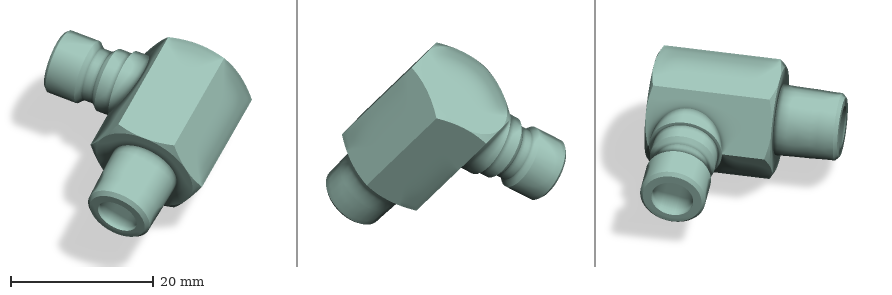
import cadquery as cq
import math

ACROSS_FLATS = 15.0
BACK_Y = 6.1
BODY_LENGTH = 18.0
FRONT_Y = BACK_Y - BODY_LENGTH
CORNER_RADIUS = ACROSS_FLATS / math.sqrt(3)
CHAMFER_ANGLE = math.radians(30)
OVERALL_X = 27.83

STEM_LENGTH = 9.0
STEM_TIP_Y = FRONT_Y - STEM_LENGTH
STEM_ROOT_RADIUS = 5.05
STEM_STEP_LENGTH = 5.0
STEM_STEP_RADIUS = 4.9
STEM_FRONT_RADIUS = 4.8
STEM_CHAMFER = 0.53

PORT_TIP_X = CORNER_RADIUS - OVERALL_X
PORT_RADIUS = 4.68
PORT_CHAMFER = 0.47
GROOVE_RADIUS = 3.9
GROOVE_START = 4.9
GROOVE_FLANK = 0.8
GROOVE_FLOOR = 1.6
COLLAR_START = 10.45
COLLAR_RADIUS = 5.2

BORE_RADIUS = 3.0


def make_body():
    """Hexagonal bar with both ends cut back by a cone at the corners."""
    hexagon = (
        cq.Workplane("XZ", origin=(0, BACK_Y, 0))
        .polygon(6, 2 * CORNER_RADIUS)
        .extrude(BODY_LENGTH)
    )
    face_radius = ACROSS_FLATS / 2
    chamfer_depth = (CORNER_RADIUS - face_radius) * math.tan(CHAMFER_ANGLE)
    envelope = (
        cq.Workplane("XY")
        .moveTo(0, FRONT_Y)
        .lineTo(face_radius, FRONT_Y)
        .lineTo(CORNER_RADIUS, FRONT_Y + chamfer_depth)
        .lineTo(CORNER_RADIUS, BACK_Y - chamfer_depth)
        .lineTo(face_radius, BACK_Y)
        .lineTo(0, BACK_Y)
        .close()
        .revolve(360, (0, 0, 0), (0, 1, 0))
    )
    return hexagon.intersect(envelope)


def make_stem():
    """Slightly conical stem, starting inside the body."""
    return (
        cq.Workplane("XY")
        .moveTo(0, 0)
        .lineTo(STEM_ROOT_RADIUS, 0)
        .lineTo(STEM_ROOT_RADIUS, FRONT_Y)
        .lineTo(STEM_STEP_RADIUS, FRONT_Y - STEM_STEP_LENGTH)
        .lineTo(STEM_FRONT_RADIUS, STEM_TIP_Y + STEM_CHAMFER)
        .lineTo(STEM_FRONT_RADIUS - STEM_CHAMFER, STEM_TIP_Y)
        .lineTo(0, STEM_TIP_Y)
        .close()
        .revolve(360, (0, 0, 0), (0, 1, 0))
    )


def make_port():
    """Grooved side port with a wider collar running into the body."""
    floor_start = PORT_TIP_X + GROOVE_START + GROOVE_FLANK
    floor_end = floor_start + GROOVE_FLOOR
    collar_x = PORT_TIP_X + COLLAR_START
    return (
        cq.Workplane("XY")
        .moveTo(PORT_TIP_X, 0)
        .lineTo(PORT_TIP_X, PORT_RADIUS - PORT_CHAMFER)
        .lineTo(PORT_TIP_X + PORT_CHAMFER, PORT_RADIUS)
        .lineTo(PORT_TIP_X + GROOVE_START, PORT_RADIUS)
        .lineTo(floor_start, GROOVE_RADIUS)
        .lineTo(floor_end, GROOVE_RADIUS)
        .lineTo(floor_end + GROOVE_FLANK, PORT_RADIUS)
        .lineTo(collar_x, PORT_RADIUS)
        .lineTo(collar_x, COLLAR_RADIUS)
        .lineTo(0, COLLAR_RADIUS)
        .lineTo(0, 0)
        .close()
        .revolve(360, (0, 0, 0), (1, 0, 0))
    )


def make_bores():
    """Two bores meeting in an elbow; the stem bore ends at the far side of the port bore."""
    stem_bore = (
        cq.Workplane("XZ", origin=(0, BORE_RADIUS, 0))
        .circle(BORE_RADIUS)
        .extrude(BORE_RADIUS - STEM_TIP_Y)
    )
    port_bore = (
        cq.Workplane("YZ", origin=(PORT_TIP_X, 0, 0))
        .circle(BORE_RADIUS)
        .extrude(-PORT_TIP_X)
    )
    return stem_bore.union(port_bore)


result = make_body().union(make_stem()).union(make_port()).cut(make_bores())